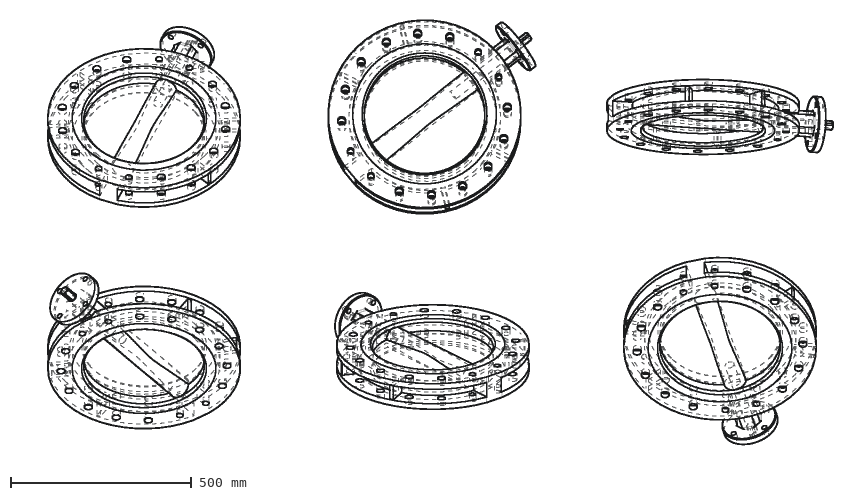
import cadquery as cq
import math


face_to_face = 78.0
flange_radius = 266.5
flange_thickness = 17.0
flange_gap = face_to_face - 2 * flange_thickness
drum_radius = 210.0

bolt_count = 16
bolt_circle_radius = 230.0
bolt_hole_diameter = 22.0
tapped_hole_diameter = 18.0
bolt_pitch = 360.0 / bolt_count

rib_angle = 24.5
rib_thickness = 11.0
rib_outer_radius = 262.0

foot_y = -265.0
foot_width = 51.5

neck_width = 64.0
neck_flat_width = 36.0
neck_fillet = 4.0
neck_diagonal_width = (neck_width + neck_flat_width) / math.sqrt(2)
plate_radius = 77.5
plate_bottom_y = 311.0
plate_top_y = 331.5
plate_chamfer = 2.5
plate_bolt_circle_diameter = 125.0
plate_hole_diameter = 14.0
plate_hole_spacing = plate_bolt_circle_diameter / math.sqrt(2)

liner_outer_radius = 199.0
liner_bore_radius = 167.0
liner_mouth_radius = 173.0
liner_mouth_depth = 8.5

disc_rim_half_thickness = 4.5
disc_center_half_thickness = 19.5
disc_hub_radius = 31.5

stem_diameter = 25.6
stem_square_width = 21.6
stem_top_y = 370.0
stem_bottom_y = 100.0
stem_end_chamfer = 2.0


def cylinder_z(radius, height):
    """Cylinder on the flow axis, centred on the XY plane."""
    return cq.Workplane("XY").circle(radius).extrude(height / 2, both=True)


def plane_at_y(y):
    """Workplane across the stem axis whose extrusions run toward +Y."""
    return cq.Workplane("ZX", origin=(0, y, 0))


def stem_bar(top_y):
    """Round bar on the stem axis, from the stem's lower end up to top_y."""
    return plane_at_y(stem_bottom_y).circle(stem_diameter / 2).extrude(top_y - stem_bottom_y)


def make_stem():
    """Round shank up to the plate, then a square drive end with rounded corners."""
    bar = stem_bar(stem_top_y).faces(">Y").chamfer(stem_end_chamfer)
    square = (
        plane_at_y(plate_top_y)
        .transformed(rotate=(0, 0, 45))
        .rect(stem_square_width, stem_square_width)
        .extrude(stem_top_y - plate_top_y)
    )
    return bar.intersect(stem_bar(plate_top_y).union(square))


def stem_bore():
    """Cutter for the hole that the stem's round shank fills."""
    return stem_bar(plate_top_y)


def make_ribs():
    """Four radial ribs, mirrored about both the X and the Y axis."""
    ribs = []
    for angle in (rib_angle, -rib_angle, 180 - rib_angle, 180 + rib_angle):
        rib = (
            cq.Workplane("XY")
            .box(rib_outer_radius, rib_thickness, flange_gap, centered=(False, True, True))
            .rotate((0, 0, 0), (0, 0, 1), angle)
        )
        ribs.append(rib)
    return ribs


def make_neck_and_plate():
    """Drilled round plate on a square neck with chamfered corners."""
    plate_height = plate_top_y - plate_bottom_y
    plate = plane_at_y(plate_bottom_y).circle(plate_radius).extrude(plate_height)
    plate = plate.faces("<Y").chamfer(plate_chamfer)
    plate = (
        plate.faces(">Y")
        .workplane(origin=(0, plate_top_y, 0))
        .rect(plate_hole_spacing, plate_hole_spacing, forConstruction=True)
        .vertices()
        .hole(plate_hole_diameter)
    )

    neck = plane_at_y(0).rect(neck_width, neck_width).extrude(plate_bottom_y)
    flare_width = neck_width + 2 * neck_fillet
    flare = plane_at_y(plate_bottom_y - neck_fillet).rect(flare_width, flare_width).extrude(neck_fillet)
    for side in range(4):
        groove = (
            cq.Workplane("XY", origin=(flare_width / 2, plate_bottom_y - neck_fillet, 0))
            .circle(neck_fillet)
            .extrude(flare_width, both=True)
            .rotate((0, 0, 0), (0, 1, 0), 90 * side)
        )
        flare = flare.cut(groove)
    corner_planes = (
        plane_at_y(0)
        .transformed(rotate=(0, 0, 45))
        .rect(neck_diagonal_width, neck_diagonal_width)
        .extrude(plate_bottom_y)
    )
    return neck.union(flare).intersect(corner_planes).union(plate)


def flange_holes():
    """Cutters for the bolt holes; the four next to the stem axis are smaller."""
    holes = []
    for index in range(bolt_count):
        angle = math.radians((index + 0.5) * bolt_pitch)
        x = bolt_circle_radius * math.cos(angle)
        y = bolt_circle_radius * math.sin(angle)
        beside_stem = abs(x) < bolt_circle_radius * math.sin(math.radians(bolt_pitch))
        diameter = tapped_hole_diameter if beside_stem else bolt_hole_diameter
        holes.append(cylinder_z(diameter / 2, face_to_face).translate((x, y, 0)))
    return holes


def make_housing():
    """Two flanges joined by a drum, with ribs, foot, neck and mounting plate."""
    housing = cylinder_z(drum_radius, face_to_face)
    for direction in (1, -1):
        flange = cylinder_z(flange_radius, flange_thickness)
        offset = direction * (face_to_face - flange_thickness) / 2
        housing = housing.union(flange.translate((0, 0, offset)))

    for rib in make_ribs():
        housing = housing.union(rib)
    foot = cq.Workplane("XY").box(foot_width, -foot_y, flange_gap).translate((0, foot_y / 2, 0))
    housing = housing.union(foot).union(make_neck_and_plate())

    beyond_foot = cq.Workplane("XY").box(2 * flange_radius, flange_radius, face_to_face)
    housing = housing.cut(beyond_foot.translate((0, foot_y - flange_radius / 2, 0)))
    for hole in flange_holes():
        housing = housing.cut(hole)
    return housing.cut(cylinder_z(liner_outer_radius, face_to_face)).cut(stem_bore())


def make_liner():
    """Ring flush with both flange faces, its bore opened by a cone at each mouth."""
    mouth_z = face_to_face / 2
    throat_z = mouth_z - liner_mouth_depth
    liner = (
        cq.Workplane("XZ")
        .moveTo(liner_outer_radius, -mouth_z)
        .lineTo(liner_outer_radius, mouth_z)
        .lineTo(liner_mouth_radius, mouth_z)
        .lineTo(liner_bore_radius, throat_z)
        .lineTo(liner_bore_radius, -throat_z)
        .lineTo(liner_mouth_radius, -mouth_z)
        .close()
        .revolve(360, (0, 0, 0), (0, 1, 0))
    )
    return liner.cut(stem_bore())


def make_disc():
    """Double-sided cone with a hub, filling the liner bore and socketed for the stem."""
    cone = (
        cq.Workplane("XZ")
        .moveTo(0, -disc_center_half_thickness)
        .lineTo(liner_bore_radius, -disc_rim_half_thickness)
        .lineTo(liner_bore_radius, disc_rim_half_thickness)
        .lineTo(0, disc_center_half_thickness)
        .close()
        .revolve(360, (0, 0, 0), (0, 1, 0))
    )
    hub = cq.Workplane("XZ").circle(disc_hub_radius).extrude(liner_bore_radius, both=True)
    hub = hub.intersect(cylinder_z(liner_bore_radius, face_to_face))
    return cone.union(hub).cut(stem_bore())


housing = make_housing()
liner = make_liner()
disc = make_disc()
stem = make_stem()

result = cq.Compound.makeCompound([housing.val(), liner.val(), disc.val(), stem.val()])